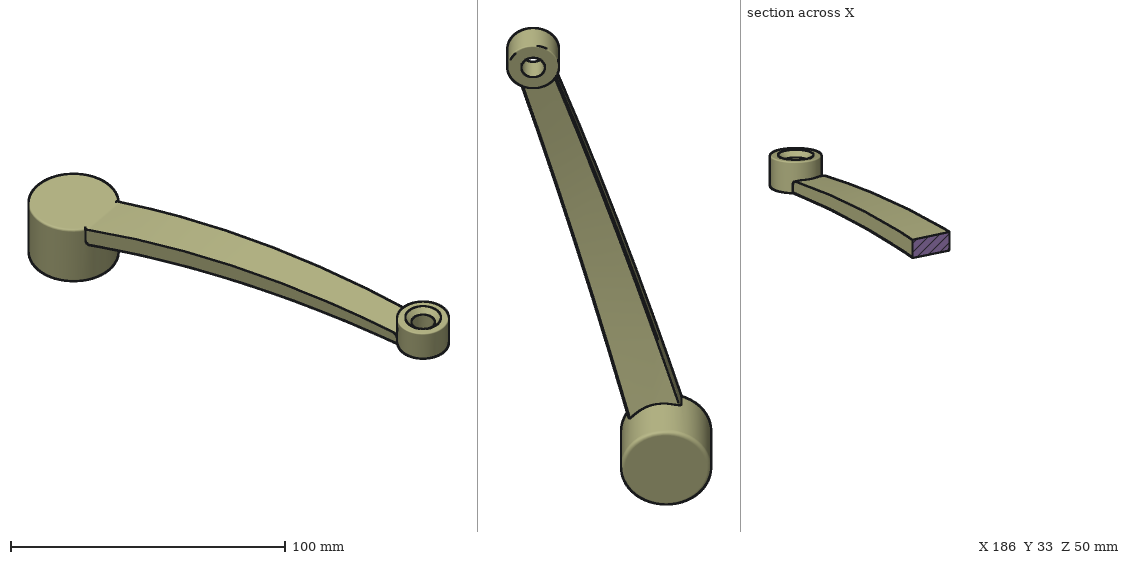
import cadquery as cq
import math

HUB_DIAMETER = 33.0
HUB_HEIGHT = 25.0
HUB_TOP_FILLET = 1.0
HUB_BOTTOM_FILLET = 1.5

EYE_SPACING = 160.0
EYE_DIAMETER = 19.0
EYE_HEIGHT = 12.0
OVERALL_HEIGHT = 50.0
EYE_EDGE_FILLET = 0.5
EYE_BOTTOM = OVERALL_HEIGHT - EYE_HEIGHT

BORE_DIAMETER = 8.6
COUNTERSINK_DIAMETER = 13.0
COUNTERSINK_ANGLE = 90.0

ARM_START_X = 12.5
ARM_END_X = 153.0
ARM_START_WIDTH = 20.0
ARM_END_WIDTH = 13.2
ARM_TOP_CREST_X = 135.5
ARM_TOP_CREST_Z = 43.4
ARM_TOP_RADIUS = 412.0
ARM_UNDERSIDE_CREST_X = 152.7
ARM_UNDERSIDE_CREST_Z = 38.1
ARM_UNDERSIDE_RADIUS = 480.0
ARM_ROOT_BLEND = 4.5
ARM_END_ROUND = 2.0
ARM_UNDERSIDE_FILLET = 0.5


def arc_height(x, crest_x, crest_z, radius):
    """Height at x of a circular arch with its highest point at the crest."""
    return crest_z - radius + math.sqrt(radius**2 - (x - crest_x) ** 2)


def arm_top(x):
    return (x, arc_height(x, ARM_TOP_CREST_X, ARM_TOP_CREST_Z, ARM_TOP_RADIUS))


def arm_underside(x):
    return (x, arc_height(x, ARM_UNDERSIDE_CREST_X, ARM_UNDERSIDE_CREST_Z, ARM_UNDERSIDE_RADIUS))


ARM_ROOT_X = ARM_TOP_CREST_X - math.sqrt(
    ARM_TOP_RADIUS**2 - (ARM_TOP_RADIUS - ARM_TOP_CREST_Z + HUB_HEIGHT) ** 2
)


def nearest(point):
    """Selector of the edge whose centre is closest to the point."""
    return cq.selectors.NearestToPointSelector(point)


def make_hub():
    hub = cq.Workplane("XY").circle(HUB_DIAMETER / 2).extrude(HUB_HEIGHT)
    hub = hub.faces(">Z").edges().fillet(HUB_TOP_FILLET)
    return hub.faces("<Z").edges().fillet(HUB_BOTTOM_FILLET)


def make_eye():
    eye = (
        cq.Workplane("XY", origin=(EYE_SPACING, 0, EYE_BOTTOM))
        .circle(EYE_DIAMETER / 2)
        .extrude(EYE_HEIGHT)
    )
    return eye.faces("<Z or >Z").edges().fillet(EYE_EDGE_FILLET)


def make_arm():
    middle_x = (ARM_ROOT_X + ARM_END_X) / 2
    profile = (
        cq.Workplane("XZ")
        .moveTo(*arm_underside(ARM_START_X))
        .lineTo(ARM_START_X, HUB_HEIGHT)
        .lineTo(ARM_ROOT_X, HUB_HEIGHT)
        .threePointArc(arm_top(middle_x), arm_top(ARM_END_X))
        .lineTo(*arm_underside(ARM_END_X))
        .threePointArc(arm_underside(middle_x), arm_underside(ARM_START_X))
        .close()
        .extrude(HUB_DIAMETER / 2, both=True)
    )
    outline = (
        cq.Workplane("XY")
        .moveTo(ARM_START_X, -ARM_START_WIDTH / 2)
        .lineTo(ARM_END_X, -ARM_END_WIDTH / 2)
        .lineTo(ARM_END_X, ARM_END_WIDTH / 2)
        .lineTo(ARM_START_X, ARM_START_WIDTH / 2)
        .close()
        .extrude(OVERALL_HEIGHT)
    )
    arm = profile.intersect(outline)
    arm = arm.edges(nearest((ARM_ROOT_X, 0, HUB_HEIGHT))).fillet(ARM_ROOT_BLEND)
    arm = arm.faces(">X").edges("|Y and >Z").fillet(ARM_END_ROUND)
    arm = arm.faces("<X").edges("|Y and <Z").fillet(ARM_END_ROUND)
    mean_half_width = (ARM_START_WIDTH + ARM_END_WIDTH) / 4
    underside_x, underside_z = arm_underside((ARM_START_X + ARM_END_X) / 2)
    for side in (-1, 1):
        edge_middle = (underside_x, side * mean_half_width, underside_z)
        arm = arm.edges(nearest(edge_middle)).fillet(ARM_UNDERSIDE_FILLET)
    return arm


def drill_eye(body):
    return (
        body.copyWorkplane(cq.Workplane("XY", origin=(EYE_SPACING, 0, OVERALL_HEIGHT)))
        .cskHole(BORE_DIAMETER, COUNTERSINK_DIAMETER, COUNTERSINK_ANGLE, EYE_HEIGHT)
    )


result = drill_eye(make_hub().union(make_arm()).union(make_eye()))